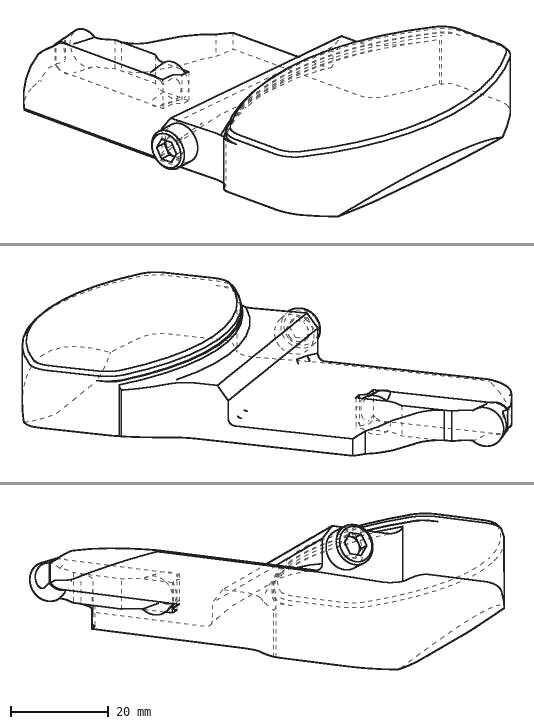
import cadquery as cq
import math


half_thick = 3.2
flat_half_width = 11.8
lens_half_width = 35.1
lens_rise = 4.2
flank_radius = 131.2

tip_radius = 4.1
tip_root_radius = 3.4
tip_spacing = 23.9
insert_centre_x = tip_spacing / 2
insert_half_length = tip_spacing / 2 + tip_radius
insert_depth = 6.4
relief_half_length = 14.6
relief_start_y = -2.1
relief_middle = (15.0, -2.7)
relief_end_y = -3.9
shoulder_height = 1.8
shoulder_top_half = 5.5
shoulder_foot_half = 9.3
shoulder_slope_end = (7.1, 0.7)
shoulder_curve_middle = (8.1, 0.2)

blade_back_y = 22.5
blade_front_y = -30.6
clearance_start = (-2.4, -8.6)
clearance_middle = (1.9, -19.8)
clearance_end_x = 10.3
back_corner_x = 20.4
step_top = (19.2, 18.6)
step_bottom = (17.5, 16.2)
throat_start = (13.0, 6.3)
throat_middle = (11.4, 3.6)
throat_end_x = 8.2

neck_x = 47.5
neck_top = 10.1
neck_chamfer_run = 2.3
neck_chamfer_drop = 3.0
wall_foot_radius = 1.5
neck_back_corner_x = 57.5
neck_back_radius = 6.6
neck_back_end = (66.6, 33.7)
neck_front_corner_x = 64.9
neck_front_radius = 6.6
neck_front_end = (67.0, -32.8)
front_tilt = 3.0

max_x = 100.9 - tip_radius
head_half_length = 20.0
head_x = max_x - head_half_length
head_half_width = 34.9
head_arc_radius = 58.5
head_corner_radius = 6.1
head_top = 14.2
top_chamfer = 0.8
rim_bottom = 12.4
neck_side_bulge = 0.3
bulge_corner_radius = 3.2
root_radius = 1.5
underside_cut_x = 88.9

screw_diameter = 8.5
screw_end = (52.9, -35.2)
screw_z = 5.3
screw_head_length = 6.1
screw_chamfer = 0.5
socket_across_corners = 5.1
socket_depth = 2.5
socket_cone_depth = 0.8

tall = 2 * (head_top + tip_radius)
tilt_slope = math.tan(math.radians(front_tilt))


def prism(outline):
    """Extrude a plan outline through the whole height of the tool."""
    return outline.extrude(tall / 2, both=True)


def lens_bar(above):
    """Bar along X with the lens-shaped underside and a flat top at the height `above`."""
    edge_z = lens_rise - half_thick
    return (
        cq.Workplane("YZ", origin=(-max_x, 0, 0))
        .moveTo(-flat_half_width, -half_thick)
        .lineTo(flat_half_width, -half_thick)
        .radiusArc((lens_half_width, edge_z), -flank_radius)
        .lineTo(lens_half_width, above)
        .lineTo(-lens_half_width, above)
        .lineTo(-lens_half_width, edge_z)
        .radiusArc((-flat_half_width, -half_thick), -flank_radius)
        .close()
        .extrude(3 * max_x)
    )


def insert_outline():
    """Plan outline of the insert: one half drawn from its centre line, then mirrored."""
    return (
        cq.Workplane("XY", origin=(insert_centre_x, 0, 0))
        .moveTo(0, shoulder_height)
        .lineTo(shoulder_top_half, shoulder_height)
        .lineTo(*shoulder_slope_end)
        .threePointArc(shoulder_curve_middle, (shoulder_foot_half, 0))
        .lineTo(insert_half_length, 0)
        .lineTo(insert_half_length, relief_start_y)
        .threePointArc(relief_middle, (relief_half_length, relief_end_y))
        .lineTo(relief_half_length, -insert_depth)
        .lineTo(0, -insert_depth)
        .mirrorY()
    )


def build_insert():
    bar_depth = insert_depth + shoulder_height
    bar_y = (shoulder_height - insert_depth) / 2
    bar = cq.Workplane("XY").box(tip_spacing, bar_depth, 2 * half_thick)
    body = bar.translate((insert_centre_x, bar_y, 0))
    for tip_x in (0, tip_spacing):
        cone = cq.Solid.makeCone(
            tip_radius, tip_root_radius, insert_depth, cq.Vector(tip_x, 0, 0), cq.Vector(0, -1, 0)
        )
        body = body.union(cq.Workplane(cone))
    return body.intersect(prism(insert_outline()))


def blade_top_with_round():
    """Bar with the curved top of the blade, rising into the neck wall through a concave round."""
    wall = (
        cq.Workplane("XY")
        .box(head_x - neck_x, 2 * lens_half_width, tall, centered=(False, True, True))
        .translate((neck_x, 0, neck_top - neck_chamfer_drop - tall / 2))
    )
    wall_foot = cq.selectors.BoxSelector(
        (neck_x - 1, -lens_half_width, -half_thick), (neck_x + 1, lens_half_width, half_thick + 1)
    )
    return lens_bar(head_top).mirror("XY").union(wall).edges(wall_foot).fillet(wall_foot_radius)


def build_blade():
    outline = (
        cq.Workplane("XY")
        .moveTo(clearance_start[0], -insert_depth)
        .lineTo(*clearance_start)
        .threePointArc(clearance_middle, (clearance_end_x, blade_front_y))
        .lineTo(neck_x, blade_front_y)
        .lineTo(neck_x, blade_back_y)
        .lineTo(back_corner_x, blade_back_y)
        .lineTo(*step_top)
        .lineTo(*step_bottom)
        .lineTo(*throat_start)
        .threePointArc(throat_middle, (throat_end_x, shoulder_height))
        .close()
    )
    lens = lens_bar(head_top).intersect(blade_top_with_round())
    nose = cq.Workplane("XZ").circle(half_thick).extrude(lens_half_width, both=True)
    behind_nose = cq.Workplane("XY").box(max_x, tall * 3, tall, centered=(False, True, True))
    return prism(outline).intersect(lens).intersect(behind_nose.union(nose))


def head_outline(corner_radius, bulge=0.0):
    """Plan prism of the head: two long arcs, moved outwards by `bulge`, between rounded flat ends."""
    radius = head_arc_radius + bulge
    arc_offset = head_arc_radius - head_half_length
    end_half = math.sqrt(radius**2 - head_half_width**2) - arc_offset
    middle_half = radius - arc_offset
    outline = (
        cq.Workplane("XY")
        .moveTo(head_x - end_half, -head_half_width)
        .lineTo(head_x + end_half, -head_half_width)
        .threePointArc((head_x + middle_half, 0), (head_x + end_half, head_half_width))
        .lineTo(head_x - end_half, head_half_width)
        .threePointArc((head_x - middle_half, 0), (head_x - end_half, -head_half_width))
        .close()
    )
    return prism(outline).edges("|Z").fillet(corner_radius)


def slab_below(top, end_x):
    """Block that reaches up to `top` in Z and up to `end_x` in X."""
    size = 3 * max_x
    return cq.Workplane("XY").box(size, size, size).translate((end_x - size / 2, 0, top - size / 2))


def build_head():
    head = head_outline(head_corner_radius).intersect(slab_below(head_top, 2 * max_x))
    head = head.faces(">Z").chamfer(top_chamfer)
    bulge = head_outline(bulge_corner_radius, neck_side_bulge)
    return head.union(bulge.intersect(slab_below(rim_bottom, head_x)))


def neck_plan():
    front_corner_y = blade_front_y + (neck_front_corner_x - neck_x) * tilt_slope
    outline = (
        cq.Workplane("XY")
        .moveTo(neck_x, blade_front_y)
        .lineTo(neck_front_corner_x, front_corner_y)
        .lineTo(*neck_front_end)
        .lineTo(head_x, neck_front_end[1])
        .lineTo(head_x, neck_back_end[1])
        .lineTo(*neck_back_end)
        .lineTo(neck_back_corner_x, blade_back_y)
        .lineTo(neck_x, blade_back_y)
        .close()
    )
    block = prism(outline)
    for corner_x, corner_y, radius in (
        (neck_back_corner_x, blade_back_y, neck_back_radius),
        (neck_front_corner_x, front_corner_y, neck_front_radius),
    ):
        corner = cq.selectors.NearestToPointSelector((corner_x, corner_y, 0))
        block = block.edges("|Z").edges(corner).fillet(radius)
    return block


def build_neck():
    section = (
        cq.Workplane("XZ")
        .moveTo(neck_x, -tall)
        .lineTo(neck_x, neck_top - neck_chamfer_drop)
        .lineTo(neck_x + neck_chamfer_run, neck_top)
        .lineTo(head_x, neck_top)
        .lineTo(head_x, -tall)
        .close()
        .extrude(2 * lens_half_width, both=True)
    )
    return neck_plan().intersect(section)


def build_head_root():
    """Concave round where the head's long arc rises from the neck top."""
    wall_radius = head_arc_radius + neck_side_bulge
    axis_x = head_x - head_half_length + head_arc_radius
    wall_x = axis_x - wall_radius
    middle = root_radius * (1 - math.sqrt(0.5))
    ring = (
        cq.Workplane("XZ")
        .moveTo(wall_x - root_radius, neck_top)
        .threePointArc((wall_x - middle, neck_top + middle), (wall_x, neck_top + root_radius))
        .lineTo(wall_x + root_radius, neck_top + root_radius)
        .lineTo(wall_x + root_radius, neck_top - root_radius)
        .lineTo(wall_x - root_radius, neck_top - root_radius)
        .close()
        .revolve(360, (axis_x, 0, 0), (axis_x, 1, 0))
    )
    return ring.intersect(neck_plan())


def build_screw_head():
    away = cq.Vector(math.sin(math.radians(front_tilt)), -math.cos(math.radians(front_tilt)), 0)
    end_plane = cq.Plane(origin=(*screw_end, screw_z), xDir=(-away.y, away.x, 0), normal=away.toTuple())
    screw = (
        cq.Workplane(end_plane)
        .circle(screw_diameter / 2)
        .extrude(-screw_head_length)
        .faces(cq.selectors.DirectionMinMaxSelector(away))
        .chamfer(screw_chamfer)
    )
    socket = cq.Workplane(end_plane).polygon(6, socket_across_corners).extrude(-socket_depth)
    cone = cq.Solid.makeCone(
        socket_across_corners * math.sqrt(3) / 4,
        0,
        socket_cone_depth,
        end_plane.origin - away * socket_depth,
        away * -1,
    )
    return screw.cut(socket).cut(cq.Workplane(cone))


def far_underside_cut():
    """45 degree wedge below the far side of the head."""
    start_z = -half_thick - tip_radius
    start_x = underside_cut_x - tip_radius
    return (
        cq.Workplane("XZ")
        .moveTo(start_x, start_z)
        .lineTo(start_x + tall, start_z + tall)
        .lineTo(start_x + tall, start_z)
        .close()
        .extrude(2 * lens_half_width, both=True)
    )


def build_holder():
    body = build_head().union(build_neck()).union(build_head_root())
    body = body.intersect(lens_bar(head_top)).cut(far_underside_cut())
    body = body.union(build_blade())
    return body.union(build_screw_head()).cut(prism(insert_outline()))


holder = build_holder()
insert = build_insert()
result = cq.Compound.makeCompound([holder.val(), insert.val()])